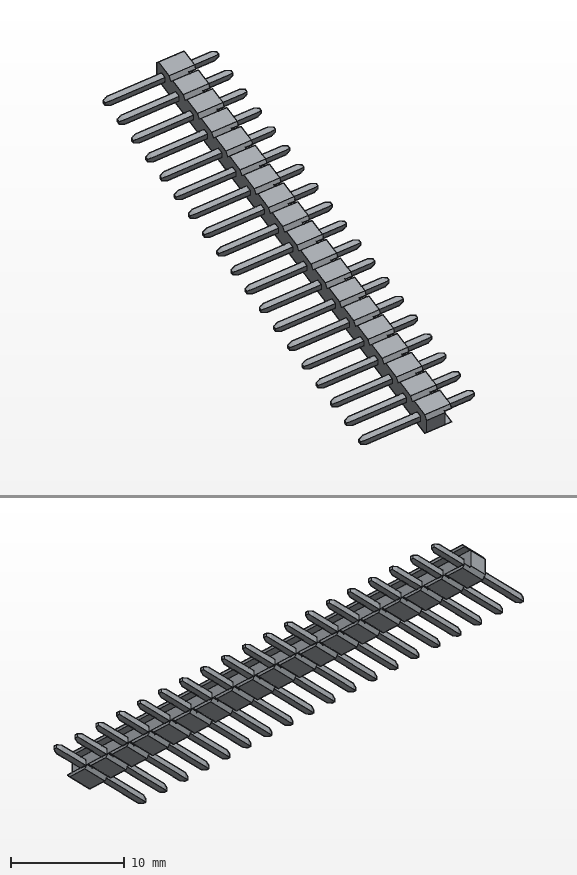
import cadquery as cq

PIN_COUNT = 19
ROW_LENGTH = 48.25
PITCH = ROW_LENGTH / PIN_COUNT

BODY_DEPTH = 2.6
BODY_HEIGHT = 2.5
CHAMFER_WIDTH = 0.35
CHAMFER_HEIGHT = 0.45

CHANNEL_DEPTH = 0.7
LIP_THICKNESS = 0.35

PIN_WIDTH = 0.65
PIN_OFFSET = -0.1
PIN_LENGTH = 11.6
PIN_FRONT_REACH = 6.05
TIP_LENGTH = 0.5
TIP_WIDTH = 0.35


def cell_centres():
    """X of each cell's centre, with the row centred on X = 0."""
    return [(i - (PIN_COUNT - 1) / 2) * PITCH for i in range(PIN_COUNT)]


def body_cell(x):
    """One pin's share of the body: a block with its four long edges chamfered."""
    half_width = PITCH / 2
    half_height = BODY_HEIGHT / 2
    flat_x = half_width - CHAMFER_WIDTH
    side_z = half_height - CHAMFER_HEIGHT
    outline = [
        (-flat_x, -half_height),
        (flat_x, -half_height),
        (half_width, -side_z),
        (half_width, side_z),
        (flat_x, half_height),
        (-flat_x, half_height),
        (-half_width, side_z),
        (-half_width, -side_z),
    ]
    return cq.Workplane("XZ", origin=(x, 0, 0)).polyline(outline).close().extrude(-BODY_DEPTH)


def rear_channel():
    """Cutter for the full-length channel in the rear face."""
    channel_height = BODY_HEIGHT - 2 * LIP_THICKNESS
    channel_y = BODY_DEPTH - CHANNEL_DEPTH / 2
    return cq.Workplane("XY", origin=(0, channel_y, 0)).box(ROW_LENGTH, CHANNEL_DEPTH, channel_height)


def pin(x):
    """Square pin with a tapered tip at each end."""
    shank_length = PIN_LENGTH - 2 * TIP_LENGTH
    shank_front = TIP_LENGTH - PIN_FRONT_REACH
    shank = cq.Workplane("XZ", origin=(x, shank_front, 0)).rect(PIN_WIDTH, PIN_WIDTH).extrude(-shank_length)
    for end in ("<Y", ">Y"):
        tip = (
            shank.faces(end)
            .workplane(centerOption="CenterOfMass")
            .rect(PIN_WIDTH, PIN_WIDTH)
            .workplane(offset=TIP_LENGTH)
            .rect(TIP_WIDTH, TIP_WIDTH)
            .loft(combine=False)
        )
        shank = shank.union(tip)
    return shank


body = cq.Workplane("XY")
for cell_x in cell_centres():
    body = body.union(body_cell(cell_x))
body = body.cut(rear_channel())

result = body
for cell_x in cell_centres():
    result = result.union(pin(cell_x + PIN_OFFSET))